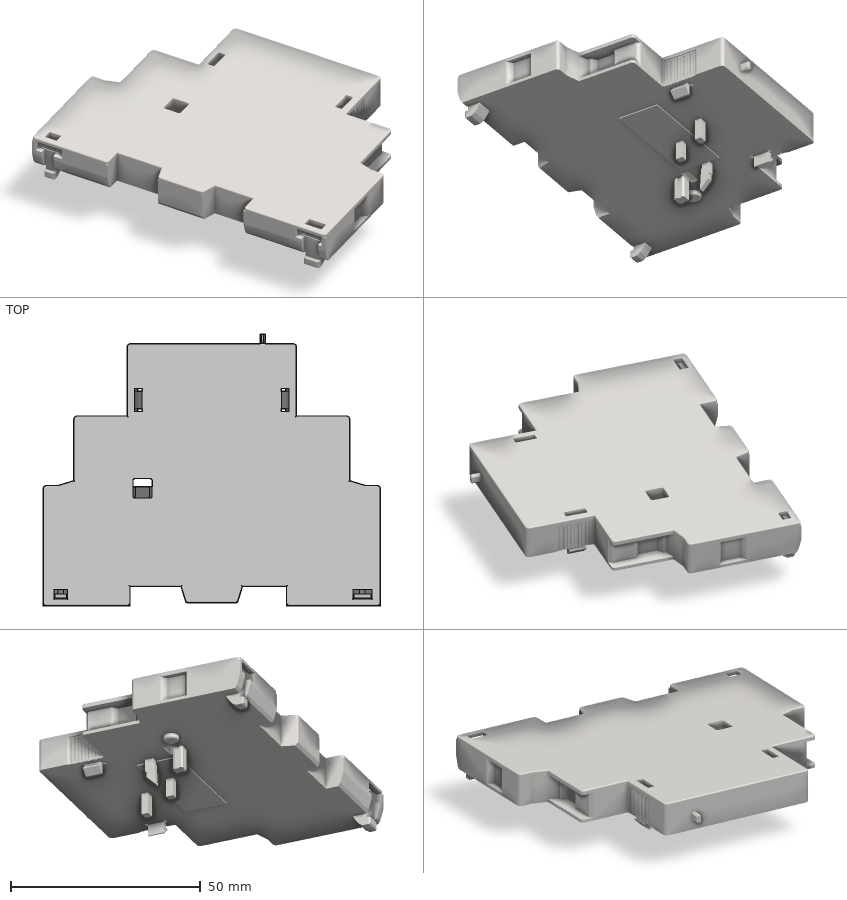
import cadquery as cq

HEIGHT = 9.2
LID = 1.0
BODY_TOP = HEIGHT - LID
OVERLAP = 0.3

BASE_HALF = 44.5
MIDDLE_HALF = 36.4
REAR_HALF = 22.3
BASE_DEPTH = 31.8
MIDDLE_DEPTH = 50.1
REAR_DEPTH = 69.15
SLOPE_RUN = 4.1
SLOPE_RISE = 1.25
CORNER_R = 1.0
TOOTH_R = 0.45
EDGE_R = 0.4

NOTCH_LEFT = -21.5
NOTCH_RIGHT = 19.7
NOTCH_DEPTH = 5.1
TOOTH_ROOT_HALF = 8.1
TOOTH_TIP_HALF = 6.8
TOOTH_TIP_Y = 0.8

SIDE_TOP = 7.9
SIDE_BOTTOM = 0.9


def box(x0, x1, y0, y1, z0, z1):
    """Box between two opposite corners."""
    return cq.Workplane("XY").box(x1 - x0, y1 - y0, z1 - z0, centered=False).translate((x0, y0, z0))


def prism_xy(points, z0, z1):
    """Plan outline extruded from z0 to z1."""
    return cq.Workplane("XY").workplane(offset=z0).polyline(points).close().extrude(z1 - z0)


def prism_xz(points, y0, y1):
    """Outline of (x, z) points extruded from y0 to y1."""
    return cq.Workplane("XZ").workplane(offset=-y0).polyline(points).close().extrude(y0 - y1)


def prism_yz(points, x0, x1):
    """Outline of (y, z) points extruded from x0 to x1."""
    return cq.Workplane("YZ").workplane(offset=x0).polyline(points).close().extrude(x1 - x0)


def both_sides(shape):
    """The shape together with its mirror image in x."""
    return shape.union(shape.mirror("YZ"))


def round_corners(shape, corners, radius):
    """Fillet the vertical edges standing at the given plan corners."""
    reach = 0.1
    for x, y in corners:
        near_corner = cq.selectors.BoxSelector(
            (x - reach, y - reach, -0.9), (x + reach, y + reach, HEIGHT + 0.9))
        shape = shape.edges("|Z").edges(near_corner).fillet(radius)
    return shape


def body():
    right_half = [
        (BASE_HALF, 0),
        (BASE_HALF, BASE_DEPTH),
        (MIDDLE_HALF + SLOPE_RUN, BASE_DEPTH),
        (MIDDLE_HALF, BASE_DEPTH + SLOPE_RISE),
        (MIDDLE_HALF, MIDDLE_DEPTH),
        (REAR_HALF, MIDDLE_DEPTH),
        (REAR_HALF, REAR_DEPTH),
    ]
    left_half = [(-x, y) for x, y in reversed(right_half)]
    front = [
        (NOTCH_LEFT, 0),
        (NOTCH_LEFT, NOTCH_DEPTH),
        (-TOOTH_ROOT_HALF, NOTCH_DEPTH),
        (-TOOTH_TIP_HALF, TOOTH_TIP_Y),
        (TOOTH_TIP_HALF, TOOTH_TIP_Y),
        (TOOTH_ROOT_HALF, NOTCH_DEPTH),
        (NOTCH_RIGHT, NOTCH_DEPTH),
        (NOTCH_RIGHT, 0),
    ]
    outline = right_half + left_half + front
    rear_corners = [(BASE_HALF, BASE_DEPTH), (MIDDLE_HALF, MIDDLE_DEPTH), (REAR_HALF, REAR_DEPTH)]
    rear_corners += [(-x, y) for x, y in rear_corners]
    tooth_corners = [(-TOOTH_TIP_HALF, TOOTH_TIP_Y), (TOOTH_TIP_HALF, TOOTH_TIP_Y)]
    front_corners = [
        (-BASE_HALF, 0),
        (NOTCH_LEFT, 0),
        (NOTCH_RIGHT, 0),
        (BASE_HALF, 0),
    ]
    lower = round_corners(prism_xy(outline, 0, BODY_TOP), rear_corners, CORNER_R)
    lower = round_corners(lower, tooth_corners, TOOTH_R)
    lower = lower.cut(front_undercut())
    lid_corners = rear_corners + front_corners + tooth_corners
    lid = round_corners(prism_xy(outline, BODY_TOP, HEIGHT), lid_corners, CORNER_R)
    lid = lid.faces(">Z").edges().fillet(EDGE_R)
    return lower.union(lid)


def front_undercut():
    """Front face leaning back in two flats towards the underside."""
    profile = [(-0.9, 4.0), (0, 4.0), (0.9, 0.9), (1.5, 0), (1.5, -0.9), (-0.9, -0.9)]
    return prism_yz(profile, -BASE_HALF - 0.9, BASE_HALF + 0.9)


def finger_pocket():
    """Shallow pocket with sloping ends in the left base side."""
    depth = 1.6
    y0, y1 = 15.5, 23.1
    slope = 1.25
    x = -BASE_HALF
    points = [(x, y0), (x + depth, y0 + slope), (x + depth, y1 - slope), (x, y1)]
    return prism_xy(points, SIDE_BOTTOM, SIDE_TOP)


def side_channel():
    """Channel in the left middle side, open to the rear, with a deeper middle."""
    x = -MIDDLE_HALF
    wall = x + 2.7
    deep_wall = wall + 1.6
    rear_bevel = 0.8
    points = [
        (x - SLOPE_RUN, MIDDLE_DEPTH + 0.9),
        (wall + rear_bevel, MIDDLE_DEPTH + 0.9),
        (wall + rear_bevel, MIDDLE_DEPTH),
        (wall, MIDDLE_DEPTH - rear_bevel),
        (wall, 42.45),
        (deep_wall, 41.2),
        (deep_wall, 36.05),
        (wall, 34.9),
        (wall, 34.1),
        (x, BASE_DEPTH + SLOPE_RISE),
        (x - SLOPE_RUN, BASE_DEPTH + SLOPE_RISE),
    ]
    return prism_xy(points, SIDE_BOTTOM, SIDE_TOP)


def grip():
    """Shallow recess in the left rear side with wide and fine grooves in turn."""
    y0, y1 = 50.5, 60.8
    depth = 0.3
    entry = 0.6
    wide, fine = 0.5, 0.2
    groove_top = 7.3
    groove_count = 9
    pitch = 2.05
    spacing = pitch / 2
    first_groove = y1 - 1.1
    x = -REAR_HALF
    floor = x + depth
    points = [(x, y0), (floor, y0), (floor, y1 - entry), (x, y1)]
    shape = prism_xy(points, -0.9, SIDE_TOP)
    for i in range(groove_count):
        y = first_groove - i * spacing
        half = (wide if i % 2 else fine) / 2
        shape = shape.union(box(x, floor + depth, y - half, y + half, -0.9, groove_top))
    return shape


CLIP_Y = 1.8
CLIP_BACK = 3.1
CLIP_RIB_BACK = 4.3
CLIP_RIB = 1.4
CLIP_TOP = 8.0
CLIP_RIB_TOP = 6.2
CLIP_INSET = 0.3
RECESS_BOTTOM = 5.25
LEFT_CLIP = (-41.6, -38.0)
LEFT_RECESS = (-43.3, -35.4)
RIGHT_CLIP = (37.2, 42.3)
RIGHT_RECESS = (35.4, 43.3)


def clip_space(x0, x1, recess_x0, recess_x1):
    """Space around a clip: stepped front recess, stem slot and lid window."""
    step, floor_step = 0.7, 0.3
    outer_depth = 1.5
    outer = box(recess_x0, recess_x1, -0.9, outer_depth, RECESS_BOTTOM, BODY_TOP)
    inner = box(recess_x0 + step, recess_x1 - step, -0.9, CLIP_Y, RECESS_BOTTOM + floor_step, BODY_TOP)
    stem = box(x0, x1, -0.9, CLIP_Y, -0.9, BODY_TOP)
    window = box(x0, x1, CLIP_Y, CLIP_RIB_BACK, RECESS_BOTTOM, HEIGHT + 0.9)
    return outer.union(inner).union(stem).union(window)


def clip(x0, x1):
    """Spring clip: ribbed stem ending in a forward-facing foot below the body."""
    stem_end = -1.1
    foot_bottom = -3.2
    toe_y = 0.6
    toe_chamfer = 0.4
    middle = (x0 + x1) / 2
    foot_x0, foot_x1 = x0 + CLIP_INSET, x1 - CLIP_INSET
    stem_outline = [(foot_x0, 0), (x0, RECESS_BOTTOM), (x1, RECESS_BOTTOM), (foot_x1, 0)]
    stem = prism_xz(stem_outline, CLIP_Y, CLIP_BACK)
    head = box(foot_x0, foot_x1, CLIP_Y + CLIP_INSET, CLIP_BACK, RECESS_BOTTOM, CLIP_TOP)
    rib = box(middle - CLIP_RIB / 2, middle + CLIP_RIB / 2, CLIP_BACK, CLIP_RIB_BACK, 0, CLIP_RIB_TOP)
    foot_profile = [
        (CLIP_Y, OVERLAP),
        (CLIP_Y, stem_end),
        (toe_y, stem_end),
        (toe_y, -2.85),
        (toe_y + 0.4, foot_bottom),
        (2.8, foot_bottom),
        (3.9, -2.5),
        (5.4, -0.45),
        (5.4, OVERLAP),
    ]
    foot = prism_yz(foot_profile, foot_x0, foot_x1).faces("<Y").edges("|Z").chamfer(toe_chamfer)
    return stem.union(head).union(rib).union(foot)


SLOT_INNER = -18.3
SLOT_OUTER = -20.4
SLOT_Y0, SLOT_Y1 = 51.3, 57.3
HOOK_GAP = 0.7


def hook_slot():
    """Slot over the left hook; only its inner strip goes right through."""
    strip = 1.2
    ledge_top = 1.2
    pocket = box(SLOT_OUTER, SLOT_INNER, SLOT_Y0, SLOT_Y1, ledge_top, HEIGHT + 0.9)
    return pocket.union(box(SLOT_INNER - strip, SLOT_INNER, SLOT_Y0, SLOT_Y1, -0.9, HEIGHT + 0.9))


def hook():
    """Left hook: a curved root filling the slot and a barb pointing outwards."""
    y0, y1 = SLOT_Y0 + HOOK_GAP, SLOT_Y1 - HOOK_GAP
    width = SLOT_INNER - SLOT_OUTER
    root_height = 0.9
    root = (
        cq.Workplane("XZ").workplane(offset=-y0)
        .moveTo(SLOT_OUTER, 0)
        .lineTo(SLOT_INNER, 0)
        .lineTo(SLOT_INNER, root_height + width)
        .radiusArc((SLOT_OUTER, root_height), -width)
        .close().extrude(y0 - y1)
    )
    stem_inner, stem_outer, barb_tip = -19.1, -20.3, -21.3
    barb_z, hook_bottom = -1.25, -3.2
    profile = [
        (stem_inner, OVERLAP),
        (stem_outer, OVERLAP),
        (stem_outer, barb_z),
        (barb_tip, barb_z),
        (barb_tip, barb_z - 0.4),
        (stem_inner - 0.45, hook_bottom),
        (stem_inner, hook_bottom),
    ]
    return root.union(prism_xz(profile, y0, y1))


WINDOW_X0, WINDOW_X1 = -20.7, -15.75
WINDOW_Y0, WINDOW_Y1 = 28.4, 33.55
WINDOW_CORNER_R = 0.5


def window():
    """Square window through the body."""
    opening = box(WINDOW_X0, WINDOW_X1, WINDOW_Y0, WINDOW_Y1, -0.9, HEIGHT + 0.9)
    return opening.edges("|Z").fillet(WINDOW_CORNER_R)


def post():
    """Grooved post with chamfered corners, hanging from a shoulder in the window."""
    x0, x1, y1 = -19.8, -16.7, 31.4
    bottom = -6.3
    shoulder_top = 1.8
    shoulder_bevel = 0.9
    shaft_chamfer = 0.45
    groove_depth = 0.4
    front_groove_half = 0.2
    side_groove_y0, side_groove_y1 = 29.5, 30.8

    shoulder = box(WINDOW_X0 - OVERLAP, WINDOW_X1 + OVERLAP, WINDOW_Y0 - OVERLAP, y1, 0, shoulder_top)
    shoulder = shoulder.edges("|Y and >Z").chamfer(shoulder_bevel)
    shaft = box(x0, x1, WINDOW_Y0, y1, bottom, OVERLAP).edges("|Z").chamfer(shaft_chamfer)
    middle = (x0 + x1) / 2
    shaft = shaft.cut(box(
        middle - front_groove_half, middle + front_groove_half,
        WINDOW_Y0 - groove_depth, WINDOW_Y0 + groove_depth, bottom, 0))
    for side in (x0, x1):
        shaft = shaft.cut(box(
            side - groove_depth, side + groove_depth, side_groove_y0, side_groove_y1, bottom, 0))
    return shoulder.union(shaft)


BLADE_BOTTOM = -7.7
PIN_TIP_Y = 71.7


def blade():
    """Lever blade ending in a slanted point."""
    back, front = 40.9, 38.5
    profile = [
        (back, OVERLAP),
        (back, -3.4),
        (back - 0.4, -3.7),
        (back - 0.4, -5.2),
        (37.9, BLADE_BOTTOM),
        (38.3, -1.4),
        (front, -1.4),
        (front, OVERLAP),
    ]
    return prism_yz(profile, -16.2, -14.7)


def boss():
    """Round boss with a chamfered end."""
    radius, length, chamfer = 2.05, 1.3, 0.3
    cylinder = cq.Workplane("XY").workplane(offset=-length).center(-25.7, 28.8).circle(radius)
    return cylinder.extrude(length + OVERLAP).faces("<Z").chamfer(chamfer)


def pad():
    """Thin raised area on the underside."""
    return box(-14.3, 15.8, 32.3, 44.2, -0.3, OVERLAP)


def short_pin():
    """Narrow rectangular pin under the pad."""
    return box(-3.9, -2.05, 38.5, 40.6, -5.4, OVERLAP)


def wide_pin():
    """Wider rectangular pin behind the pad."""
    return box(1.6, 4.0, 48.4, 50.3, -6.05, OVERLAP)


def rear_pin():
    """Eight-sided pin on the rear face with a bevelled tip."""
    x0, x1, z0, z1 = 12.7, 14.15, 2.6, 5.1
    side_chamfer, tip_chamfer = 0.45, 0.2
    pin = box(x0, x1, REAR_DEPTH - OVERLAP, PIN_TIP_Y, z0, z1)
    return pin.edges("|Y").chamfer(side_chamfer).faces(">Y").chamfer(tip_chamfer)


result = body()
for pocket in (finger_pocket(), side_channel(), grip(), hook_slot()):
    result = result.cut(both_sides(pocket))
for clip_range, recess_range in ((LEFT_CLIP, LEFT_RECESS), (RIGHT_CLIP, RIGHT_RECESS)):
    result = result.cut(clip_space(*clip_range, *recess_range))
    result = result.union(clip(*clip_range))
result = result.cut(window())
result = result.union(both_sides(hook()))
for part in (post(), pad(), blade(), boss(), short_pin(), wide_pin(), rear_pin()):
    result = result.union(part)